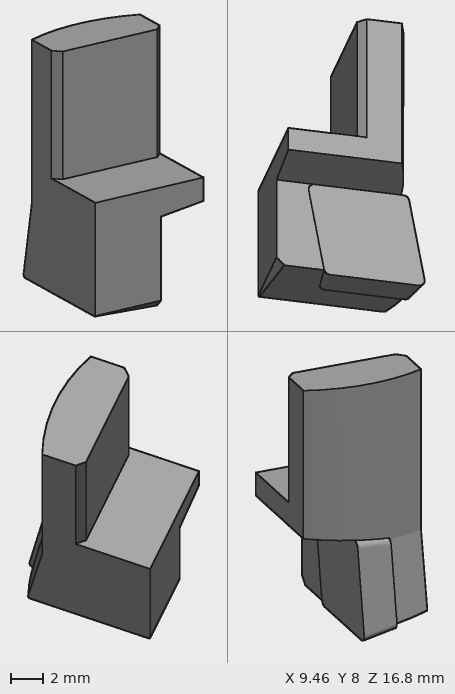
import cadquery as cq
import math


inscribed_circle = 6.35
nose_angle = 80.0
nose_radius = 0.4
insert_thickness = 2.38
insert_clearance = 7.0
cutting_face_y = 0.86

holder_right = 9.46
holder_length = 8.0
holder_width = 8.0
holder_top = 16.8
holder_left = holder_right - holder_length
half_width = holder_width / 2
outline_left = -holder_length

shank_height = 8.5
shank_thickness = 3.5
shank_chamfer = 0.5
ledge_z = holder_top - shank_height
shank_right = holder_left + shank_thickness

dome_radius = 11.0
flare_angle = 90.0 - nose_angle
flare_start_z = 5.93
dome_axis_x = holder_left + dome_radius

underside_slope = 5.0
underside_z = 0.28
underside_chamfer = 0.5
nose_edge_radius = 0.2
nose_edge_zone = 1.0


def slope_rise(run, degrees):
    return run * math.tan(math.radians(degrees))


def make_insert():
    side = inscribed_circle / math.sin(math.radians(nose_angle))
    lean = side * math.cos(math.radians(nose_angle))
    nose_x = nose_radius - nose_radius / math.tan(math.radians(nose_angle / 2))
    corners = [
        (nose_x, 0),
        (nose_x + side, 0),
        (nose_x + side + lean, inscribed_circle),
        (nose_x + lean, inscribed_circle),
    ]
    blank = (
        cq.Workplane("XZ", origin=(0, cutting_face_y, 0))
        .polyline(corners)
        .close()
        .extrude(insert_thickness, taper=insert_clearance)
    )
    return blank.edges("not(#Y)").fillet(nose_radius)


def make_dome():
    """Solid of revolution whose left side is the domed face of the holder."""
    flare = slope_rise(flare_start_z, flare_angle)
    return (
        cq.Workplane("XZ", origin=(dome_axis_x, 0, 0))
        .moveTo(0, 0)
        .lineTo(-dome_radius - flare, 0)
        .lineTo(-dome_radius, flare_start_z)
        .lineTo(-dome_radius, holder_top)
        .lineTo(0, holder_top)
        .close()
        .revolve(360, (0, 0), (0, 1))
    )


def make_front_prism():
    """L-shaped outline in XZ with the chamfered lower right corner."""
    return (
        cq.Workplane("XZ", origin=(0, half_width, 0))
        .moveTo(outline_left, underside_z)
        .lineTo(holder_right - underside_chamfer, underside_z)
        .lineTo(holder_right, underside_z + underside_chamfer)
        .lineTo(holder_right, ledge_z)
        .lineTo(shank_right, ledge_z)
        .lineTo(shank_right, holder_top)
        .lineTo(outline_left, holder_top)
        .close()
        .extrude(holder_width)
    )


def make_side_prism():
    """Outline in YZ: sloped underside, step at the cutting face, sloped roof of the chip space."""
    underside_front_z = underside_z + slope_rise(cutting_face_y + half_width, underside_slope)
    roof_back_z = inscribed_circle + slope_rise(half_width - cutting_face_y, insert_clearance)
    return (
        cq.Workplane("YZ", origin=(outline_left, 0, 0))
        .moveTo(-half_width, underside_front_z)
        .lineTo(cutting_face_y, underside_z)
        .lineTo(cutting_face_y, inscribed_circle)
        .lineTo(half_width, roof_back_z)
        .lineTo(half_width, holder_top)
        .lineTo(-half_width, holder_top)
        .close()
        .extrude(holder_right - outline_left)
    )


def make_holder(insert):
    body = make_dome().intersect(make_front_prism()).intersect(make_side_prism())
    shank_corners = cq.selectors.BoxSelector(
        (shank_right - shank_chamfer, -holder_width, ledge_z),
        (shank_right + shank_chamfer, holder_width, holder_top),
    )
    body = body.edges("|Z").edges(shank_corners).chamfer(shank_chamfer)
    nose_edge = cq.selectors.BoxSelector(
        (outline_left, -half_width, 0),
        (holder_left, cutting_face_y, nose_edge_zone),
    )
    body = body.edges(nose_edge).fillet(nose_edge_radius)
    return body.cut(insert)


insert = make_insert()
holder = make_holder(insert)

result = cq.Compound.makeCompound([holder.val(), insert.val()])